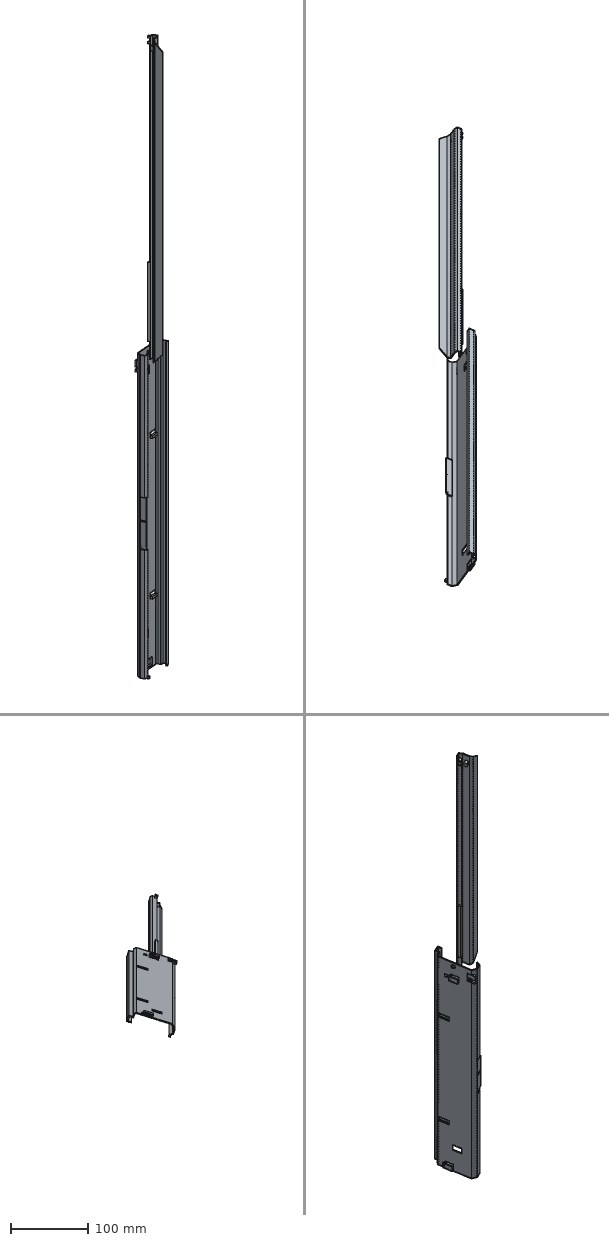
import cadquery as cq
import math


LENGTH = 885.0
WIDTH = 63.0
DEPTH = 35.0

SHEET = 1.5
HALF_SHEET = SHEET / 2
RAIL_LENGTH = 449.0

WEB_X = 4.0
HOOK_X = 11.0
HOOK_LIP_X = 18.0
HOOK_LIP_END_Y = 57.0
STEP_Y = 57.0
WEB_BEND = 2.2
CORNER_SLOPE = 5.0
FLANGE_END_X = 16.0
FLANGE_LIP_X = 19.0
FLANGE_LIP_Y = 5.0
CABINET_BOTTOM = 2.0
END_TAB_HEIGHT = 6.0
END_TAB_REACH = 2.2
TOE_WIDTH = 3.0
TOE_HEIGHT = 3.5

SLOT_Y = 46.0
SLOT_LENGTH = 15.0
SLOT_HEIGHT = 8.0
SLOT_LIP_DEPTH = 3.5
SLOT_LIP_RISE = 3.5
SLOT_CENTRES_Z = (102.0, 325.0)
WINDOW_Y = 26.5
WINDOW_Z = 52.0
WINDOW_WIDTH = 13.0
WINDOW_HEIGHT = 11.0
PIN_HOLE_Y = 33.0
PIN_HOLE_Z = 442.0
PIN_HOLE_DIAMETER = 6.0

HOOK_WINDOW_WIDTH = 11.5
HOOK_WINDOW_HEIGHT = 11.5
HOOK_TONGUE_HEIGHT = 10.0
HOOK_RIB_HEIGHT = 5.0
HOOK_RIB_PROUD = 1.0
HOOKS = ((30.0, 418.0, 4.0, 4.0), (38.0, 10.0, 2.0, 2.0))

PAD_WIDTH = 11.5
PAD_PROUD = 1.0
PADS = ((426.0, 3.5), (433.0, 9.0))

CLIP_LEFT_X = 10.0
CLIP_RIGHT_X = 19.0
CLIP_BOTTOM = 180.5
CLIP_HEIGHT = 73.0
CLIP_THICKNESS = 3.0
CLIP_RAMP_DROP = 1.3
CLIP_RAMP_START = 2.0
CLIP_RAMP_HEIGHT = 6.0
CLIP_GROOVE_Z = 219.5
CLIP_GROOVE_HEIGHT = 2.0
CLIP_GROOVE_DEPTH = 1.0

DRAWER_LIP_X = 11.5
DRAWER_LIP_END_Y = 24.0
DRAWER_WEB_TOP_Y = 27.0
DRAWER_TOP_Y = 33.0
DRAWER_TOP_BEND = 2.0
DRAWER_TOP_END_X = 19.0
DRAWER_WEB_X = 20.0
DRAWER_FLANGE_Y = 13.0
DRAWER_FLANGE_START_X = 24.0
DRAWER_CHAMFER = 14.0

STRIP_X = 8.0
STRIP_Y = 24.0
STRIP_WIDTH = 3.5
STRIP_BOTTOM = 461.0
STRIP_TOP = 571.0
STOP_HEIGHT = 11.0
STOP_TOOTH = 3.0
END_PLATE_DEPTH = 5.0
END_PLATE_Y = 19.0
END_PLATE_WIDTH = 4.0
END_PLATE_DROP = 18.0


def block(x_range, y_range, z_range):
    """Box between the given pairs of limits."""
    size = [high - low for low, high in (x_range, y_range, z_range)]
    corner = (x_range[0], y_range[0], z_range[0])
    return cq.Workplane("XY").box(*size, centered=False).translate(corner)


def sheet_profile(path, bottom, height):
    """Bent sheet that follows the centre line `path` in XY, extruded upward."""
    headings = [math.atan2(b[1] - a[1], b[0] - a[0]) for a, b in zip(path, path[1:])]
    headings = [headings[0]] + headings + [headings[-1]]
    left_side = []
    right_side = []
    for (x, y), before, after in zip(path, headings, headings[1:]):
        turn = math.remainder(after - before, math.tau)
        normal = before + turn / 2 + math.pi / 2
        reach = HALF_SHEET / math.cos(turn / 2)
        left_side.append((x + reach * math.cos(normal), y + reach * math.sin(normal)))
        right_side.append((x - reach * math.cos(normal), y - reach * math.sin(normal)))
    outline = left_side + right_side[::-1]
    return cq.Workplane("XY").workplane(offset=bottom).polyline(outline).close().extrude(height)


def web_cut(y_centre, z_centre, width, height):
    """Cutter for a rectangular opening through the cabinet web."""
    return cq.Workplane("XY").box(2 * WEB_X, width, height).translate((WEB_X, y_centre, z_centre))


def cabinet_sheet():
    """Web with a sloped corner and lipped flange at low Y and a stepped hook at high Y."""
    flange_y = HALF_SHEET
    top_y = WIDTH - HALF_SHEET
    path = [
        (FLANGE_LIP_X, FLANGE_LIP_Y),
        (FLANGE_END_X, flange_y),
        (WEB_X + CORNER_SLOPE, flange_y),
        (WEB_X, flange_y + CORNER_SLOPE),
        (WEB_X, STEP_Y - WEB_BEND),
        (WEB_X + WEB_BEND, STEP_Y),
        (HOOK_X, STEP_Y),
        (HOOK_X, top_y),
        (HOOK_LIP_X, top_y),
        (HOOK_LIP_X, HOOK_LIP_END_Y),
    ]
    return sheet_profile(path, CABINET_BOTTOM, RAIL_LENGTH)


def end_tab():
    """Tab on the hook lip that closes the lower end of the rail."""
    lip_faces = (HOOK_LIP_X - HALF_SHEET, HOOK_LIP_X + HALF_SHEET)
    return block(lip_faces, (HOOK_LIP_END_Y + END_TAB_REACH, WIDTH - END_TAB_REACH), (0, END_TAB_HEIGHT))


def end_toe():
    """Small outward toe on the flange lip at the lower end of the rail."""
    return block(
        (FLANGE_LIP_X, FLANGE_LIP_X + TOE_WIDTH),
        (FLANGE_LIP_Y / 2, FLANGE_LIP_Y),
        (CABINET_BOTTOM, CABINET_BOTTOM + TOE_HEIGHT),
    )


def screw_slot(rail, z):
    """Slot with a lip standing inward along its lower edge."""
    rail = rail.cut(web_cut(SLOT_Y, z, SLOT_LENGTH, SLOT_HEIGHT))
    lip_bottom = z - SLOT_HEIGHT / 2
    half_length = SLOT_LENGTH / 2
    lip = block(
        (WEB_X, WEB_X + SLOT_LIP_DEPTH),
        (SLOT_Y - half_length, SLOT_Y + half_length),
        (lip_bottom, lip_bottom + SLOT_LIP_RISE),
    )
    return rail.union(lip)


def mounting_hook(rail, y, z, rib_length, rib_gap):
    """Window with a tongue standing off toward the wall, and a rib beside it."""
    window_top_y = y + HOOK_WINDOW_WIDTH / 2
    window_low_y = y - HOOK_WINDOW_WIDTH / 2
    rail = rail.cut(web_cut(y, z, HOOK_WINDOW_WIDTH, HOOK_WINDOW_HEIGHT))
    tongue_z = (z - HOOK_TONGUE_HEIGHT / 2, z + HOOK_TONGUE_HEIGHT / 2)
    tongue = block((0, SHEET), (window_low_y, window_top_y), tongue_z)
    leg = block((0, WEB_X), (window_top_y, window_top_y + SHEET), tongue_z)
    rib_start = window_top_y + rib_gap
    rib_x = (WEB_X - HALF_SHEET - HOOK_RIB_PROUD, WEB_X)
    rib_z = (z - HOOK_RIB_HEIGHT / 2, z + HOOK_RIB_HEIGHT / 2)
    rib = block(rib_x, (rib_start, rib_start + rib_length), rib_z)
    return rail.union(tongue).union(leg).union(rib)


def pin_hole():
    """Cutter for the round hole near the upper end of the web."""
    centre = cq.Workplane("YZ").center(PIN_HOLE_Y, PIN_HOLE_Z)
    return centre.circle(PIN_HOLE_DIAMETER / 2).extrude(2 * WEB_X)


def corner_pad(bottom, height):
    """Flat pad over the lower edge of the web and its sloped corner."""
    pad_x = (WEB_X - HALF_SHEET - PAD_PROUD, WEB_X + HALF_SHEET)
    return block(pad_x, (0, PAD_WIDTH), (bottom, bottom + height))


def clip_gap():
    """Space that the clip takes out of the flange and its lip."""
    return block((CLIP_LEFT_X, DEPTH), (0, DRAWER_FLANGE_Y), (CLIP_BOTTOM, CLIP_BOTTOM + CLIP_HEIGHT))


def make_cabinet_rail():
    rail = cabinet_sheet().union(end_tab()).union(end_toe())
    for z in SLOT_CENTRES_Z:
        rail = screw_slot(rail, z)
    for y, z, rib_length, rib_gap in HOOKS:
        rail = mounting_hook(rail, y, z, rib_length, rib_gap)
    for bottom, height in PADS:
        rail = rail.union(corner_pad(bottom, height))
    rail = rail.cut(web_cut(WINDOW_Y, WINDOW_Z, WINDOW_WIDTH, WINDOW_HEIGHT))
    return rail.cut(pin_hole()).cut(clip_gap())


def make_clip():
    """Flat clip with a ramp at its lower end and a groove across its middle."""
    top = CLIP_BOTTOM + CLIP_HEIGHT
    outline = [
        (0, top),
        (CLIP_THICKNESS, top),
        (CLIP_THICKNESS, CLIP_BOTTOM),
        (CLIP_RAMP_DROP, CLIP_BOTTOM),
        (CLIP_RAMP_DROP, CLIP_BOTTOM + CLIP_RAMP_START),
        (0, CLIP_BOTTOM + CLIP_RAMP_START + CLIP_RAMP_HEIGHT),
    ]
    width = CLIP_RIGHT_X - CLIP_LEFT_X
    body = cq.Workplane("YZ").workplane(offset=CLIP_LEFT_X).polyline(outline).close().extrude(width)
    groove_z = (CLIP_GROOVE_Z, CLIP_GROOVE_Z + CLIP_GROOVE_HEIGHT)
    return body.cut(block((CLIP_LEFT_X, CLIP_RIGHT_X), (0, CLIP_GROOVE_DEPTH), groove_z))


def drawer_sheet():
    """Downturned lip, top, web and flat mounting flange."""
    top_y = DRAWER_TOP_Y - HALF_SHEET
    flange_y = DRAWER_FLANGE_Y + HALF_SHEET
    slope_rise = DRAWER_FLANGE_START_X - DRAWER_WEB_X
    path = [
        (DRAWER_LIP_X, DRAWER_LIP_END_Y),
        (DRAWER_LIP_X, top_y - DRAWER_TOP_BEND),
        (DRAWER_LIP_X + DRAWER_TOP_BEND, top_y),
        (DRAWER_TOP_END_X, top_y),
        (DRAWER_WEB_X, DRAWER_WEB_TOP_Y),
        (DRAWER_WEB_X, flange_y + slope_rise),
        (DRAWER_FLANGE_START_X, flange_y),
        (DEPTH, flange_y),
    ]
    return sheet_profile(path, LENGTH - RAIL_LENGTH, RAIL_LENGTH)


def flange_corner(z_end, direction):
    """Triangular cutter for one end of the drawer flange."""
    outline = [
        (DEPTH - DRAWER_CHAMFER, z_end),
        (DEPTH, z_end),
        (DEPTH, z_end + direction * DRAWER_CHAMFER),
    ]
    return cq.Workplane("XZ").polyline(outline).close().extrude(-WIDTH)


def lip_block(z_range):
    """Raised length on the wall side of the drawer lip."""
    return block((STRIP_X, DRAWER_LIP_X), (STRIP_Y, STRIP_Y + STRIP_WIDTH), z_range)


def make_drawer_rail():
    rail = drawer_sheet()
    rail = rail.cut(flange_corner(LENGTH, -1)).cut(flange_corner(LENGTH - RAIL_LENGTH, 1))
    rail = rail.union(lip_block((STRIP_BOTTOM, STRIP_TOP)))
    stop_bottom = LENGTH - STOP_HEIGHT
    for bottom in (stop_bottom, LENGTH - STOP_TOOTH):
        rail = rail.union(lip_block((bottom, bottom + STOP_TOOTH)))
    end_plate = block(
        (DRAWER_WEB_X - END_PLATE_DEPTH, DRAWER_WEB_X),
        (END_PLATE_Y, END_PLATE_Y + END_PLATE_WIDTH),
        (LENGTH - END_PLATE_DROP, LENGTH - STOP_HEIGHT),
    )
    return rail.union(end_plate)


cabinet_rail = make_cabinet_rail()
drawer_rail = make_drawer_rail()
clip = make_clip()
result = cq.Compound.makeCompound([cabinet_rail.val(), drawer_rail.val(), clip.val()])